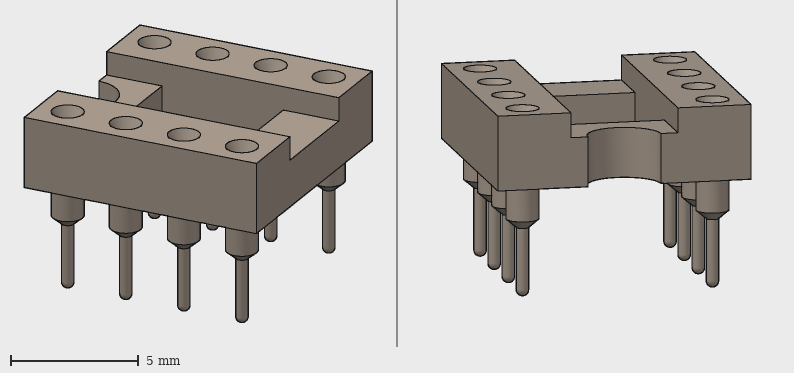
import cadquery as cq
import math

LENGTH = 10.16
WIDTH = 10.16
TOTAL_HEIGHT = 7.51

BODY_HEIGHT = 3.0
RAIL_WIDTH = 2.94
WEB_HEIGHT = 2.0
WEB_LENGTH = 2.43
NOTCH_RADIUS = 1.46

PIN_COUNT = 4
PIN_PITCH = 2.54
ROW_SPACING = 7.62
COLLAR_DIAMETER = 1.3
COLLAR_LENGTH = 1.42
TAPER_LENGTH = 0.35
TAIL_DIAMETER = 0.5

SOCKET_DIAMETER = 1.3
SOCKET_FLOOR_DIAMETER = 0.5
SOCKET_DEPTH = 1.0

PIN_TIP_Z = BODY_HEIGHT - TOTAL_HEIGHT
GAP_WIDTH = WIDTH - 2 * RAIL_WIDTH


def make_body():
    """Two raised rails joined by low end webs around an open window."""
    body = cq.Workplane("XY").box(LENGTH, WIDTH, BODY_HEIGHT, centered=(True, True, False))
    channel = (
        cq.Workplane("XY", origin=(0, 0, WEB_HEIGHT))
        .rect(LENGTH, GAP_WIDTH)
        .extrude(BODY_HEIGHT - WEB_HEIGHT)
    )
    window = cq.Workplane("XY").rect(LENGTH - 2 * WEB_LENGTH, GAP_WIDTH).extrude(BODY_HEIGHT)
    notch = cq.Workplane("XY").center(-LENGTH / 2, 0).circle(NOTCH_RADIUS).extrude(BODY_HEIGHT)
    return body.cut(channel).cut(window).cut(notch)


def make_pin():
    """Stepped pin on the Z axis, from inside the body down to its domed tip."""
    embedded_z = WEB_HEIGHT / 2
    collar_radius = COLLAR_DIAMETER / 2
    tail_radius = TAIL_DIAMETER / 2
    collar_end_z = -COLLAR_LENGTH
    dome_center_z = PIN_TIP_Z + tail_radius
    dome_offset = tail_radius * math.sqrt(0.5)
    return (
        cq.Workplane("XZ")
        .moveTo(0, embedded_z)
        .lineTo(collar_radius, embedded_z)
        .lineTo(collar_radius, collar_end_z)
        .lineTo(tail_radius, collar_end_z - TAPER_LENGTH)
        .lineTo(tail_radius, dome_center_z)
        .threePointArc((dome_offset, dome_center_z - dome_offset), (0, PIN_TIP_Z))
        .close()
        .revolve(360, (0, 0, 0), (0, 1, 0))
    )


def make_socket():
    """Tapered recess on the Z axis, open at the top of the rail."""
    floor_z = BODY_HEIGHT - SOCKET_DEPTH
    profile = [
        (0, BODY_HEIGHT),
        (SOCKET_DIAMETER / 2, BODY_HEIGHT),
        (SOCKET_FLOOR_DIAMETER / 2, floor_z),
        (0, floor_z),
    ]
    return cq.Workplane("XZ").polyline(profile).close().revolve(360, (0, 0, 0), (0, 1, 0))


pin = make_pin()
socket = make_socket()
result = make_body()
for column in range(PIN_COUNT):
    x = (column - (PIN_COUNT - 1) / 2) * PIN_PITCH
    for y in (-ROW_SPACING / 2, ROW_SPACING / 2):
        result = result.union(pin.translate((x, y, 0)))
        result = result.cut(socket.translate((x, y, 0)))